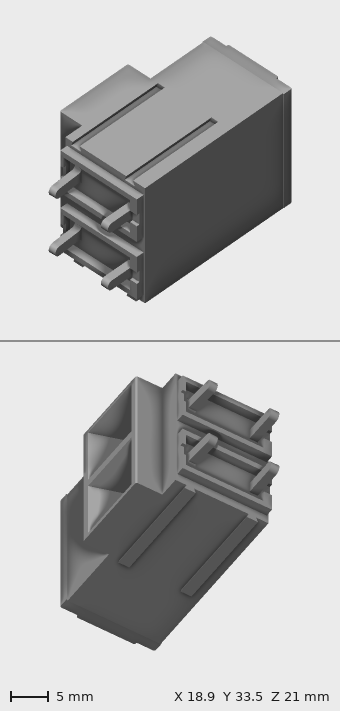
import cadquery as cq
import math


OVERALL_LENGTH = 33.55

POLES = 2
PITCH = 10.15
HEIGHT = POLES * PITCH
BODY_LEFT = 4.13
BODY_RIGHT = 18.72

HOUSING_FRONT = 3.2
HOUSING_BACK = 16.17
HOUSING_ROUND = 0.3

FUNNEL_MOUTH = (4.35, 14.85)
FUNNEL_END = (5.4, 11.47)
FUNNEL_MOUTH_HEIGHT = 8.95
FUNNEL_END_HEIGHT = 5.45
FUNNEL_DEPTH = 5.57

CAP_LEFT = 3.93
CAP_RIGHT = 18.85
CAP_Z_INSET = 0.1
CAP_SHOULDER = 1.6
CAP_ROUND = 0.3
CREST_LEFT = 6.78
CREST_RIGHT = 15.97
CREST_RISE = 0.4
CREST_ROUND = 0.17

DOVETAIL_LENGTH = HOUSING_BACK
GROOVE_CENTERS = (6.1, 15.9)
GROOVE_NECK = 1.25
GROOVE_WIDE = 1.8
GROOVE_DEPTH = 0.8
RAIL_CENTERS = (6.45, 16.2)
RAIL_NECK = 1.17
RAIL_WIDE = 1.75
RAIL_DEPTH = 0.7

PLINTH_LEFT = 4.43
PLINTH_RIGHT = 18.45
PLINTH_HEIGHT = 7.5
PLINTH_RISE = 1.27
POCKET_LEFT = 4.95
POCKET_RIGHT = 17.2
POCKET_HEIGHT = 5.7
NOTCH_HEIGHT = 1.98
NOTCH_DEPTH = 0.5

PIN_REACH = 5.3
STRAIGHT_PIN_THICKNESS = 1.27
TILTED_PIN_THICKNESS = 1.17
PIN_WIDTH = 1.6
PIN_ROOT_DEPTH = 0.67
STRAIGHT_PIN_CENTER = 16.37
TILTED_PIN_CENTER = 6.5
PIN_TILT = 3
SHOULDER_WIDTH = 2.62
SHOULDER_START = 0.05
SHOULDER_END = -0.37
SHOULDER_RADIUS = 2.0

TILT_RADIANS = math.radians(PIN_TILT)
TIP_REACH = PIN_REACH * math.cos(TILT_RADIANS) + TILTED_PIN_THICKNESS / 2 * math.sin(TILT_RADIANS)
BODY_DEPTH = OVERALL_LENGTH - TIP_REACH - CAP_SHOULDER - CREST_RISE


def block(x_range, y_range, z_range):
    """Axis-aligned box from its three coordinate ranges."""
    (x0, x1), (y0, y1), (z0, z1) = x_range, y_range, z_range
    return cq.Workplane("XY").box(x1 - x0, y1 - y0, z1 - z0, centered=False).translate((x0, y0, z0))


def centered_range(center, size):
    return (center - size / 2, center + size / 2)


def make_body():
    main = block((BODY_LEFT, BODY_RIGHT), (0, BODY_DEPTH), (0, HEIGHT))
    housing = block((0, BODY_LEFT), (HOUSING_FRONT, HOUSING_BACK), (0, HEIGHT))
    housing = housing.edges("|Z and <X").fillet(HOUSING_ROUND)
    return main.union(housing)


def make_cap():
    z_range = (CAP_Z_INSET, HEIGHT - CAP_Z_INSET)
    shoulder_y = BODY_DEPTH + CAP_SHOULDER
    crest_y = shoulder_y + CREST_RISE
    plate = block((CAP_LEFT, CAP_RIGHT), (BODY_DEPTH, shoulder_y), z_range)
    plate = plate.edges("|Z and >Y").fillet(CAP_ROUND)
    crest = block((CREST_LEFT, CREST_RIGHT), (BODY_DEPTH, crest_y), z_range)
    crest = crest.edges("|Z and >Y").fillet(CREST_ROUND)
    return plate.union(crest)


def dovetail(center, top_z, neck, wide, depth):
    """Bar along Y whose section widens downward from the neck at top_z."""
    return (
        cq.Workplane("XZ")
        .polyline([
            (center - neck / 2, top_z),
            (center + neck / 2, top_z),
            (center + wide / 2, top_z - depth),
            (center - wide / 2, top_z - depth),
        ])
        .close()
        .extrude(-DOVETAIL_LENGTH)
    )


def make_funnel(pole_z):
    mouth_y = sum(FUNNEL_MOUTH) / 2
    end_y = sum(FUNNEL_END) / 2
    return (
        cq.Workplane("YZ")
        .center(mouth_y, pole_z)
        .rect(FUNNEL_MOUTH[1] - FUNNEL_MOUTH[0], FUNNEL_MOUTH_HEIGHT)
        .workplane(offset=FUNNEL_DEPTH)
        .center(end_y - mouth_y, 0)
        .rect(FUNNEL_END[1] - FUNNEL_END[0], FUNNEL_END_HEIGHT)
        .loft(ruled=True)
    )


def make_plinth(pole_z):
    x_range = (PLINTH_LEFT, PLINTH_RIGHT)
    y_range = (-PLINTH_RISE, 0)
    plinth = block(x_range, y_range, centered_range(pole_z, PLINTH_HEIGHT))
    pocket = block((POCKET_LEFT, POCKET_RIGHT), y_range, centered_range(pole_z, POCKET_HEIGHT))
    notch = block(x_range, (-PLINTH_RISE, NOTCH_DEPTH - PLINTH_RISE), centered_range(pole_z, NOTCH_HEIGHT))
    return plinth.cut(pocket).cut(notch)


def make_pin(center_x, pole_z, thickness):
    """Flat pin pointing along -Y with a fully rounded tip."""
    half = PIN_WIDTH / 2
    round_start = half - PIN_REACH
    return (
        cq.Workplane("YZ")
        .moveTo(PIN_ROOT_DEPTH, -half)
        .lineTo(round_start, -half)
        .threePointArc((-PIN_REACH, 0), (round_start, half))
        .lineTo(PIN_ROOT_DEPTH, half)
        .close()
        .extrude(thickness / 2, both=True)
        .translate((center_x, 0, pole_z))
    )


def make_tilted_pin(pole_z):
    """Pin with a tapered shoulder at its foot, leaning toward +X at the tip."""
    half = PIN_WIDTH / 2
    half_shoulder = SHOULDER_WIDTH / 2
    shoulder = (
        cq.Workplane("YZ")
        .moveTo(PIN_ROOT_DEPTH, -half_shoulder)
        .lineTo(SHOULDER_START, -half_shoulder)
        .radiusArc((SHOULDER_END, -half), -SHOULDER_RADIUS)
        .lineTo(SHOULDER_END, half)
        .radiusArc((SHOULDER_START, half_shoulder), -SHOULDER_RADIUS)
        .lineTo(PIN_ROOT_DEPTH, half_shoulder)
        .close()
        .extrude(TILTED_PIN_THICKNESS / 2, both=True)
    )
    pin = make_pin(0, 0, TILTED_PIN_THICKNESS).union(shoulder)
    return pin.rotate((0, 0, 0), (0, 0, 1), PIN_TILT).translate((TILTED_PIN_CENTER, 0, pole_z))


result = make_body().union(make_cap())

for groove_x in GROOVE_CENTERS:
    result = result.cut(dovetail(groove_x, HEIGHT, GROOVE_NECK, GROOVE_WIDE, GROOVE_DEPTH))
for rail_x in RAIL_CENTERS:
    result = result.union(dovetail(rail_x, 0, RAIL_NECK, RAIL_WIDE, RAIL_DEPTH))

for pole in range(POLES):
    center_z = (pole + 0.5) * PITCH
    result = result.cut(make_funnel(center_z))
    result = result.union(make_plinth(center_z))
    result = result.union(make_pin(STRAIGHT_PIN_CENTER, center_z, STRAIGHT_PIN_THICKNESS))
    result = result.union(make_tilted_pin(center_z))